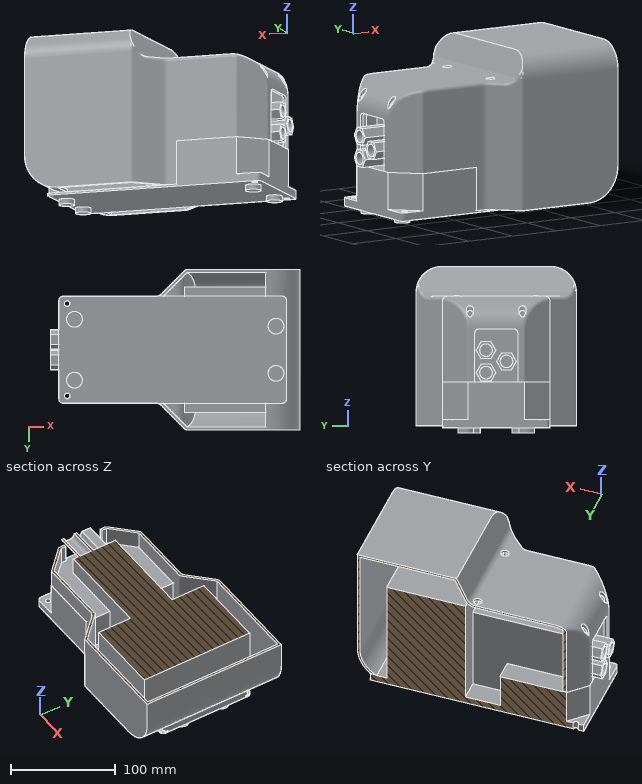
import cadquery as cq
import math

cover_length = 230.0
cover_bottom = 2.0
cover_top = 154.0
roof_height = 125.5
narrow_half_width = 51.0
wide_half_width = 76.5
wall = 3.0
corner_cut = 24.0
flare_end = 121.0
flare_start = flare_end - (wide_half_width - narrow_half_width)
front_radius = 31.0
rear_radius = 33.0
shoulder_radius = 25.0
slope_top_x = 129.0
slope_angle = math.radians(25.0)
slope_foot_x = slope_top_x - (cover_top - roof_height) * math.tan(slope_angle)
slope_radius = 8.0
edge_radius = 4.0
bend_radius = 8.0

margin = 1.0

window_width = 41.0
window_top = 94.5
window_radius = 4.0
front_hole_diameter = 7.0
front_hole_x = 5.6
front_hole_y = 25.0
rear_hole_diameter = 8.0
rear_hole_x = 110.0
rear_hole_y = 37.5

plate_length = 217.0
plate_thickness = 8.0
plate_corner = 4.0
block_length = 85.0
block_top = 44.0
tongue_half_width = narrow_half_width - wall
mount_hole_diameter = 5.0
mount_hole_x = 8.0
mount_hole_y = 44.0

connector_box_front = 21.0
connector_box_width = 48.0
connector_box_top = 98.0
drive_box_front = 120.0
drive_box_rear = 200.0
drive_box_width = 120.0
drive_box_top = 122.0

hex_flats = 16.2
hex_corners = hex_flats / math.cos(math.pi / 6)
hex_bore = 12.0
hex_overhang = 8.0
hex_pitch = 21.4
hex_floor_gap = 0.6
hex_low = block_top + hex_floor_gap + hex_flats / 2
hex_side = 9.75
hex_places = [
    (hex_side, hex_low),
    (hex_side, hex_low + hex_pitch),
    (-hex_side, hex_low + hex_pitch / 2),
]

foot_diameter = 15.0
foot_height = 5.0
foot_places = [(15.0, 29.0), (15.0, -29.0), (207.0, 22.5), (207.0, -22.5)]


def box(x_start, x_end, width, z_start, z_end):
    """Block centred on the XZ plane."""
    return (
        cq.Workplane("XY", origin=(x_start, 0, z_start))
        .rect(x_end - x_start, width)
        .extrude(z_end - z_start)
        .translate(((x_end - x_start) / 2, 0, 0))
    )


def plan_outline():
    """Outline from above: chamfered nose, narrow neck and wide rear."""
    nose = narrow_half_width - corner_cut
    side = [
        (0, nose),
        (corner_cut, narrow_half_width),
        (flare_start, narrow_half_width),
        (flare_end, wide_half_width),
        (cover_length, wide_half_width),
    ]
    mirrored = [(x, -y) for x, y in reversed(side)]
    return cq.Workplane("XY").polyline(side + mirrored).close()


def side_outline():
    """Outline from the side: rounded nose, flat roof, slope and rounded rear corner."""
    half_turn = (math.pi / 2 - slope_angle) / 2
    tangent = slope_radius * math.tan(half_turn)
    arc_start_x = slope_foot_x - tangent
    arc_end = (
        slope_foot_x + tangent * math.sin(slope_angle),
        roof_height + tangent * math.cos(slope_angle),
    )
    diagonal = math.sqrt(0.5)
    return (
        cq.Workplane("XZ")
        .moveTo(0, cover_bottom)
        .lineTo(0, roof_height - front_radius)
        .threePointArc(
            (front_radius * (1 - diagonal), roof_height - front_radius * (1 - diagonal)),
            (front_radius, roof_height),
        )
        .lineTo(arc_start_x, roof_height)
        .threePointArc(
            (
                arc_start_x + slope_radius * math.sin(half_turn),
                roof_height + slope_radius * (1 - math.cos(half_turn)),
            ),
            arc_end,
        )
        .lineTo(slope_top_x, cover_top)
        .lineTo(cover_length, cover_top)
        .lineTo(cover_length, cover_bottom + rear_radius)
        .threePointArc(
            (
                cover_length - rear_radius * (1 - diagonal),
                cover_bottom + rear_radius * (1 - diagonal),
            ),
            (cover_length - rear_radius, cover_bottom),
        )
        .close()
    )


def shoulder_prism(inset):
    """Full-length bar whose two upper edges have the shoulder radius."""
    return (
        box(0, cover_length, 2 * (wide_half_width - inset), 0, cover_top - inset)
        .edges("|X and >Z")
        .fillet(shoulder_radius - inset)
    )


def round_uprights(plan, x, radius):
    """Round the upright edges of the plan body that stand at the given X."""
    region = cq.selectors.BoxSelector(
        (x - margin, -cover_length, 0),
        (x + margin, cover_length, cover_top),
    )
    return plan.edges(region).edges("|Z").fillet(radius)


def outer_form():
    """Outside of the cover with its rounded edges."""
    plan = plan_outline().extrude(cover_top)
    plan = round_uprights(plan, flare_start, bend_radius)
    plan = round_uprights(plan, corner_cut, edge_radius)
    plan = round_uprights(plan, flare_end, edge_radius)
    side = side_outline().extrude(wide_half_width, both=True)
    form = plan.intersect(side).intersect(shoulder_prism(0))
    roof_edges = cq.selectors.BoxSelector(
        (front_radius, -wide_half_width, roof_height - margin),
        (flare_start, wide_half_width, roof_height + margin),
    )
    return form.edges(roof_edges).edges("|X").fillet(edge_radius)


def cavity():
    """Inside of the cover, one wall thickness in, open at the bottom."""
    plan = plan_outline().offset2D(-wall).extrude(cover_top)
    side = side_outline().offset2D(-wall).extrude(wide_half_width, both=True)
    mouth = box(0, cover_length - rear_radius, 2 * wide_half_width, 0, cover_bottom + rear_radius)
    return plan.intersect(side.union(mouth)).intersect(shoulder_prism(wall))


def roof_holes(x, y, diameter):
    """Pair of upright cylinders that pierce the roof."""
    return (
        cq.Workplane("XY", origin=(0, 0, window_top))
        .pushPoints([(x, y), (x, -y)])
        .circle(diameter / 2)
        .extrude(cover_top - window_top)
    )


def make_cover():
    window = (
        box(-margin, 2 * wall, window_width, block_top, window_top)
        .edges("|X and >Z")
        .fillet(window_radius)
    )
    return (
        outer_form()
        .cut(cavity())
        .cut(box(-margin, block_length, 2 * wide_half_width, 0, block_top))
        .cut(box(block_length, plate_length, 2 * tongue_half_width, 0, plate_thickness))
        .cut(window)
        .cut(roof_holes(front_hole_x, front_hole_y, front_hole_diameter))
        .cut(roof_holes(rear_hole_x, rear_hole_y, rear_hole_diameter))
    )


def make_plate():
    """Bottom plate: a thin full-width sill under the cover walls, with a thicker front
    and a narrower tongue between the walls behind it."""
    sill = (
        box(0, plate_length, 2 * narrow_half_width, 0, cover_bottom)
        .edges("|Z")
        .fillet(plate_corner)
    )
    front = (
        box(0, block_length, 2 * narrow_half_width, 0, plate_thickness)
        .edges("|Z and <X")
        .fillet(plate_corner)
    )
    tongue = (
        box(block_length, plate_length, 2 * tongue_half_width, 0, plate_thickness)
        .edges("|Z and >X")
        .fillet(plate_corner)
    )
    mount_holes = (
        cq.Workplane("XY")
        .pushPoints([(mount_hole_x, mount_hole_y), (mount_hole_x, -mount_hole_y)])
        .circle(mount_hole_diameter / 2)
        .extrude(plate_thickness)
    )
    return sill.union(front).union(tongue).cut(mount_holes)


def make_connectors():
    """Hexagonal tubes reaching forward from the connector box through the window."""
    tube_length = connector_box_front + hex_overhang
    start = cq.Workplane("YZ", origin=(-hex_overhang, 0, 0)).pushPoints(hex_places)
    bodies = start.polygon(6, hex_corners).extrude(tube_length)
    bores = start.circle(hex_bore / 2).extrude(tube_length)
    return bodies.cut(bores)


def make_base():
    front_block = (
        box(0, block_length, 2 * narrow_half_width, plate_thickness, block_top)
        .edges("|Z and <X")
        .chamfer(corner_cut)
    )
    connector_box = box(
        connector_box_front, drive_box_front, connector_box_width, plate_thickness, connector_box_top)
    drive_box = box(
        drive_box_front, drive_box_rear, drive_box_width, plate_thickness, drive_box_top)
    feet = (
        cq.Workplane("XY", origin=(0, 0, -foot_height))
        .pushPoints(foot_places)
        .circle(foot_diameter / 2)
        .extrude(foot_height)
    )
    return (
        make_plate()
        .union(front_block)
        .union(connector_box)
        .union(drive_box)
        .union(make_connectors())
        .union(feet)
    )


cover = make_cover()
base = make_base()

result = cq.Compound.makeCompound([cover.val(), base.val()])